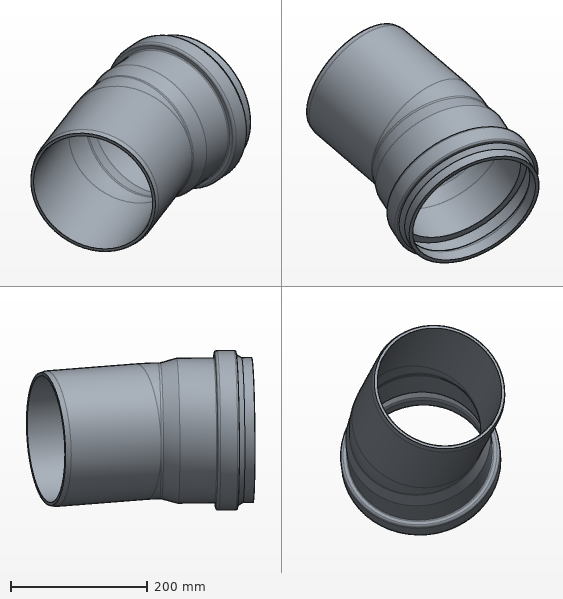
import cadquery as cq
import math

bend_angle = 15.0
pipe_diameter = 200.0
bore_diameter = 187.0
pipe_length = 146.2
bend_clearance = 0.15
tip_chamfer_length = 8.0
tip_chamfer_depth = 2.0

socket_diameter = 213.5
socket_bore = 201.5
bead_diameter = 234.8
bead_bore = 223.0

neck_end = 3.3
cone_end = 27.3
bead_start = 83.0
bead_end = 114.5
collar_start = 123.0
socket_length = 138.0

bead_edge_radius = 4.0
bead_shoulder_radius = 2.5
bead_root_radius = 1.5
lip_radius = 6.5
selection_margin = 0.3

pipe_radius = pipe_diameter / 2
bore_radius = bore_diameter / 2
socket_radius = socket_diameter / 2
socket_bore_radius = socket_bore / 2
bead_radius = bead_diameter / 2
bead_bore_radius = bead_bore / 2
socket_wall = socket_radius - socket_bore_radius
bend_radius = pipe_radius + bend_clearance


def revolve_about_y(points):
    """Solid of revolution from (radius, station) points, closed on the Y axis."""
    profile = [(0, points[0][1])] + points + [(0, points[-1][1])]
    return cq.Workplane("XY").polyline(profile).close().revolve(360, (0, 0, 0), (0, 1, 0))


def bend(radius):
    """Curved length of round bar turning from +Y towards +X."""
    return (
        cq.Workplane("XZ", origin=(0, pipe_length, 0))
        .circle(radius)
        .revolve(bend_angle, (bend_radius, 0, 0), (bend_radius, -1, 0))
    )


def place_on_bend(body):
    """Move a body built along Y from the origin to the end of the bend."""
    angle = math.radians(bend_angle)
    end_x = bend_radius * (1 - math.cos(angle))
    end_y = pipe_length + bend_radius * math.sin(angle)
    return body.rotate((0, 0, 0), (0, 0, 1), -bend_angle).translate((end_x, end_y, 0))


def spigot_outside():
    return revolve_about_y([
        (pipe_radius - tip_chamfer_depth, 0),
        (pipe_radius, tip_chamfer_length),
        (pipe_radius, pipe_length),
    ])


def circle_at(station):
    """Selector for the circular edges at one station along the Y axis."""
    return cq.selectors.BoxSelector(
        (-bead_radius, station - selection_margin, -bead_radius),
        (bead_radius, station + selection_margin, bead_radius),
        boundingbox=True,
    )


def socket_outside():
    body = revolve_about_y([
        (pipe_radius, 0),
        (pipe_radius, neck_end),
        (socket_radius, cone_end),
        (socket_radius, socket_length),
    ])
    bead = (
        cq.Workplane("XZ", origin=(0, bead_start, 0))
        .circle(bead_radius)
        .extrude(bead_start - bead_end)
        .faces("<Y").edges().fillet(bead_edge_radius)
        .faces(">Y").edges().fillet(bead_shoulder_radius)
    )
    shoulder = revolve_about_y([
        (bead_bore_radius, bead_end),
        (socket_radius, collar_start),
    ])
    return body.union(bead).edges(circle_at(bead_start)).fillet(bead_root_radius).union(shoulder)


def socket_inside():
    lip_station = collar_start - socket_wall
    space = revolve_about_y([
        (bore_radius, 0),
        (bore_radius, neck_end),
        (socket_bore_radius, cone_end),
        (socket_bore_radius, bead_start + socket_wall),
        (bead_bore_radius, bead_start + socket_wall),
        (bead_bore_radius, bead_end - socket_wall),
        (socket_bore_radius, lip_station),
        (socket_bore_radius, socket_length),
    ])
    return space.edges(circle_at(lip_station)).fillet(lip_radius)


spigot_inside = revolve_about_y([(bore_radius, 0), (bore_radius, pipe_length)])

outside = spigot_outside().union(bend(pipe_radius)).union(place_on_bend(socket_outside()))
result = (
    outside.cut(spigot_inside)
    .cut(bend(bore_radius))
    .cut(place_on_bend(socket_inside()))
)